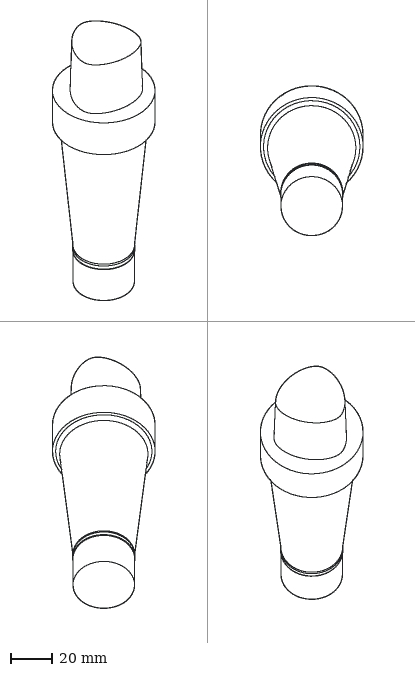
import cadquery as cq
import math

TOTAL_LENGTH = 150.0
SHANK_LENGTH = 30.0
COLLAR_HEIGHT = 20.0
CHAMFER_HEIGHT = 2.0
PILOT_LENGTH = 19.5
RING_HEIGHT = 2.4
RING_BEVEL_HEIGHT = 0.5
GROOVE_WIDTH = 1.0

COLLAR_RADIUS = 50.0 / 2
PILOT_RADIUS = 30.0 / 2
RING_RADIUS = 30.3 / 2
GROOVE_RADIUS = 22.4 / 2
CONE_END_RADIUS = PILOT_RADIUS
CONE_START_RADIUS = 21.5
CHAMFER_RADIUS = 23.4

SHANK_BASE_RADIUS = 35.2 / 2
SHANK_TAPER = 1 / 20
LOBE_HEIGHT = 1.28
LOBE_COUNT = 3

SHANK_BASE_Z = TOTAL_LENGTH - SHANK_LENGTH
COLLAR_BASE_Z = SHANK_BASE_Z - COLLAR_HEIGHT
CONE_START_Z = COLLAR_BASE_Z - CHAMFER_HEIGHT
RING_TOP_Z = PILOT_LENGTH + RING_HEIGHT
CONE_END_Z = RING_TOP_Z + GROOVE_WIDTH


def turned_body():
    """Pilot, ring, groove, cone and collar as one revolved profile."""
    profile = [
        (0, 0),
        (PILOT_RADIUS, 0),
        (PILOT_RADIUS, PILOT_LENGTH),
        (RING_RADIUS, PILOT_LENGTH + RING_BEVEL_HEIGHT),
        (RING_RADIUS, RING_TOP_Z),
        (GROOVE_RADIUS, RING_TOP_Z),
        (GROOVE_RADIUS, CONE_END_Z),
        (CONE_END_RADIUS, CONE_END_Z),
        (CONE_START_RADIUS, CONE_START_Z),
        (CHAMFER_RADIUS, COLLAR_BASE_Z),
        (COLLAR_RADIUS, COLLAR_BASE_Z),
        (COLLAR_RADIUS, SHANK_BASE_Z),
        (0, SHANK_BASE_Z),
    ]
    return cq.Workplane("XZ").polyline(profile).close().revolve(360, (0, 0), (0, 1))


def lobed_point(mean_radius, turn):
    """Point on a constant-width curve with one lobe toward -Y; turn runs from 0 to 1."""
    angle = 2 * math.pi * turn - math.pi / 2
    lobe_phase = 2 * math.pi * LOBE_COUNT * turn
    reach = mean_radius + LOBE_HEIGHT * math.cos(lobe_phase)
    slide = -LOBE_COUNT * LOBE_HEIGHT * math.sin(lobe_phase)
    x = reach * math.cos(angle) - slide * math.sin(angle)
    y = reach * math.sin(angle) + slide * math.cos(angle)
    return (x, y)


def lobed_shank():
    """Three-lobed shank, narrowing evenly toward its upper end."""
    top_radius = SHANK_BASE_RADIUS - SHANK_LENGTH * SHANK_TAPER / 2
    return (
        cq.Workplane("XY", origin=(0, 0, SHANK_BASE_Z))
        .parametricCurve(lambda turn: lobed_point(SHANK_BASE_RADIUS, turn))
        .workplane(offset=SHANK_LENGTH)
        .parametricCurve(lambda turn: lobed_point(top_radius, turn))
        .loft(ruled=True, combine=True)
    )


result = turned_body().union(lobed_shank())